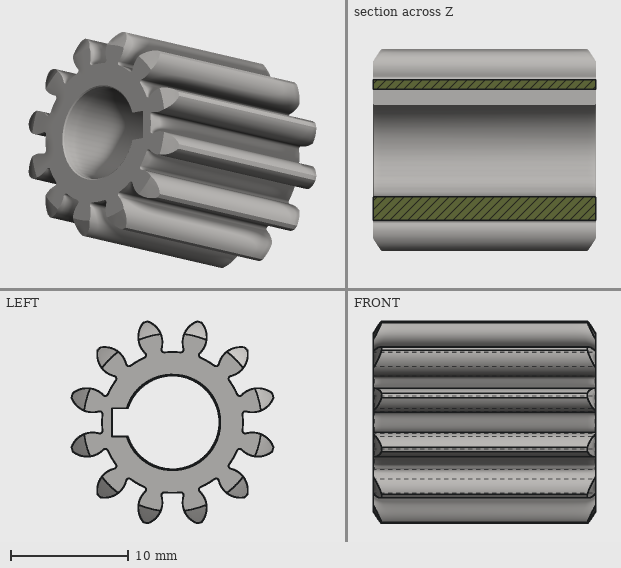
import cadquery as cq
import math

INCH = 25.4
TOOTH_COUNT = 12
MODULE = INCH / 20
FACE_WIDTH = 0.75 * INCH
DEDENDUM_FACTOR = 1.25
PITCH_RADIUS = MODULE * TOOTH_COUNT / 2
TIP_RADIUS = PITCH_RADIUS + MODULE
ROOT_RADIUS = PITCH_RADIUS - DEDENDUM_FACTOR * MODULE
TOOTH_PITCH = 360 / TOOTH_COUNT

TIP_HALF_ANGLE = 1.25
PITCH_HALF_ANGLE = 90 / TOOTH_COUNT
ROOT_HALF_ANGLE = 4.8
ROOT_FILLET = 0.23

END_CHAMFER_ANGLE = 30
END_CHAMFER_RADIAL = TIP_RADIUS - PITCH_RADIUS
END_CHAMFER_AXIAL = END_CHAMFER_RADIAL * math.tan(math.radians(END_CHAMFER_ANGLE))

BORE_RADIUS = 4.0
BORE_CHAMFER = 0.1
KEYWAY_WIDTH = 3 / 32 * INCH
KEYWAY_DEPTH_FROM_AXIS = 13 / 64 * INCH

TOLERANCE = 0.01


def polar(radius, angle):
    """Point on the gear's end plane, angle in degrees from +Y."""
    return radius * math.cos(math.radians(angle)), radius * math.sin(math.radians(angle))


def draw_tooth(outline, axis_angle):
    """Add one tooth and the root arc that follows it."""
    root_end = axis_angle + TOOTH_PITCH - ROOT_HALF_ANGLE
    return (
        outline
        .threePointArc(
            polar(PITCH_RADIUS, axis_angle - PITCH_HALF_ANGLE),
            polar(TIP_RADIUS, axis_angle - TIP_HALF_ANGLE),
        )
        .threePointArc(
            polar(TIP_RADIUS, axis_angle),
            polar(TIP_RADIUS, axis_angle + TIP_HALF_ANGLE),
        )
        .threePointArc(
            polar(PITCH_RADIUS, axis_angle + PITCH_HALF_ANGLE),
            polar(ROOT_RADIUS, axis_angle + ROOT_HALF_ANGLE),
        )
        .threePointArc(
            polar(ROOT_RADIUS, axis_angle + TOOTH_PITCH / 2),
            polar(ROOT_RADIUS, root_end),
        )
    )


def is_root_corner(edge):
    centre = edge.Center()
    return math.hypot(centre.y, centre.z) < ROOT_RADIUS + TOLERANCE


def make_toothed_blank():
    """Toothed cylinder along X, with gaps centred on the Y and Z axes."""
    first_axis = TOOTH_PITCH / 2
    outline = cq.Workplane("YZ").moveTo(*polar(ROOT_RADIUS, first_axis - ROOT_HALF_ANGLE))
    for tooth in range(TOOTH_COUNT):
        outline = draw_tooth(outline, first_axis + tooth * TOOTH_PITCH)
    blank = outline.close().extrude(FACE_WIDTH / 2, both=True)
    return blank.edges("|X").filter(is_root_corner).fillet(ROOT_FILLET)


def make_end_chamfer_envelope():
    """Cylinder with conical ends that bevels the tooth ends."""
    cylinder = cq.Workplane("YZ").circle(TIP_RADIUS).extrude(FACE_WIDTH / 2, both=True)
    return cylinder.faces("<X or >X").chamfer(END_CHAMFER_AXIAL, END_CHAMFER_RADIAL)


def make_bore():
    """Bore cutter, flared at both ends to leave chamfered rims."""
    half = FACE_WIDTH / 2
    profile = [
        (-half, 0),
        (-half, BORE_RADIUS + BORE_CHAMFER),
        (BORE_CHAMFER - half, BORE_RADIUS),
        (half - BORE_CHAMFER, BORE_RADIUS),
        (half, BORE_RADIUS + BORE_CHAMFER),
        (half, 0),
    ]
    return cq.Workplane("XY").polyline(profile).close().revolve(360, (0, 0, 0), (1, 0, 0))


def make_keyway():
    """Full-length keyway cutter on the +Y side of the bore."""
    return cq.Workplane("XY").box(
        FACE_WIDTH, KEYWAY_DEPTH_FROM_AXIS, KEYWAY_WIDTH, centered=(True, False, True)
    )


result = (
    make_toothed_blank()
    .intersect(make_end_chamfer_envelope())
    .cut(make_bore())
    .cut(make_keyway())
)